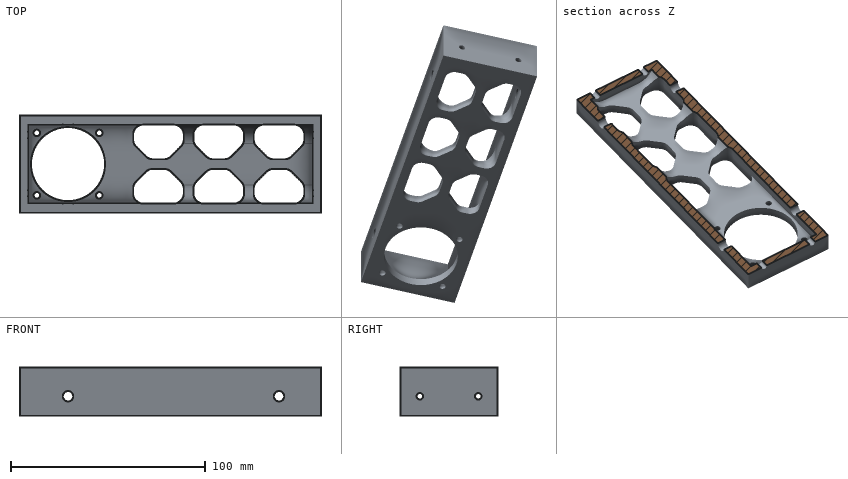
import cadquery as cq

length = 155.0
width = 50.0
height = 25.0
end_wall = 4.3
side_wall = 4.8
floor = 5.0
cavity_length = length - 2 * end_wall
cavity_width = width - 2 * side_wall

round_x = -52.7
round_diameter = 38.0
screw_spacing = 32.1
small_hole = 3.3

window_xs = [-6.2, 24.8, 55.8]
window_length = 25.9
window_chamfer = 7.9
window_round = 5.0
web_width = 5.1

cove_radius = 9.6

wall_hole_z = 10.0
side_hole = 5.3
side_hole_xs = [round_x, window_xs[-1]]
end_hole_spacing = 30.0


def make_tray():
    body = cq.Workplane("XY").box(length, width, height, centered=(True, True, False))
    cavity = (
        cq.Workplane("XY")
        .workplane(offset=floor)
        .box(cavity_length, cavity_width, height, centered=(True, True, False))
    )
    return body.cut(cavity)


def make_cove():
    """Cove along the +Y wall, from the first window to the +X end wall."""
    wall_y = cavity_width / 2
    start_x = window_xs[0]
    corner = cove_radius * (1 - 0.5 ** 0.5)
    return (
        cq.Workplane("YZ", origin=(start_x, 0, 0))
        .moveTo(wall_y, floor)
        .lineTo(wall_y - cove_radius, floor)
        .threePointArc((wall_y - corner, floor + corner), (wall_y, floor + cove_radius))
        .close()
        .extrude(cavity_length / 2 - start_x)
    )


def make_window(x):
    """Window of the +Y row: chamfered toward the web, rounded at every corner."""
    inner_y = web_width / 2
    outer_y = cavity_width / 2
    half = window_length / 2
    flat = half - window_chamfer
    outline = [
        (x - flat, inner_y),
        (x + flat, inner_y),
        (x + half, inner_y + window_chamfer),
        (x + half, outer_y),
        (x - half, outer_y),
        (x - half, inner_y + window_chamfer),
    ]
    return cq.Workplane("XY").polyline(outline).close().extrude(height).edges("|Z").fillet(window_round)


result = make_tray()

cove = make_cove()
result = result.union(cove).union(cove.mirror("XZ"))
for window_x in window_xs:
    window = make_window(window_x)
    result = result.cut(window).cut(window.mirror("XZ"))

floor_plane = cq.Workplane("XY", origin=(round_x, 0, 0))
result = result.cut(floor_plane.circle(round_diameter / 2).extrude(floor))
result = result.cut(
    floor_plane.rect(screw_spacing, screw_spacing, forConstruction=True)
    .vertices()
    .circle(small_hole / 2)
    .extrude(floor)
)

result = result.cut(
    cq.Workplane("XZ")
    .pushPoints([(x, wall_hole_z) for x in side_hole_xs])
    .circle(side_hole / 2)
    .extrude(width / 2, both=True)
)

result = result.cut(
    cq.Workplane("YZ")
    .pushPoints([(side * end_hole_spacing / 2, wall_hole_z) for side in (-1, 1)])
    .circle(small_hole / 2)
    .extrude(length / 2, both=True)
)